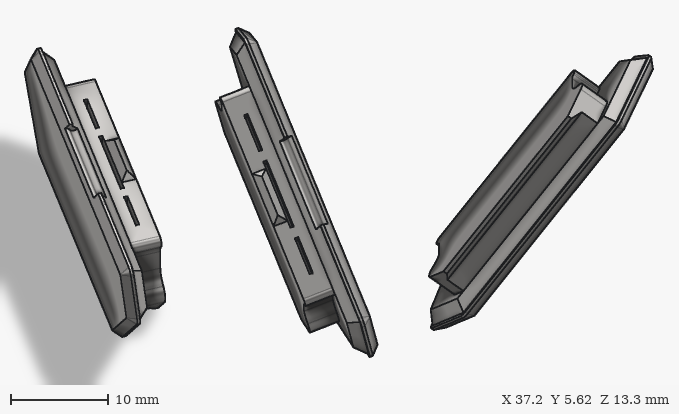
import cadquery as cq
import math

plate_height = 13.35
tip_half_width = 18.75
tip_z = 8.05
top_half_width = 16.12
bottom_half_width = 13.25
corner_radius = 0.93
front_bevel = 0.9
rim_back_y = 1.23
back_step = 0.37
back_slope_inset = 1.08
plate_back_y = 2.42

block_back_y = 5.62
block_top_z = plate_height - back_step - back_slope_inset
block_underside_z = back_step + back_slope_inset
hook_bottom_z = 0.22
hook_start_y = 4.45
hook_tip_y = 5.17

shoulder_radius = 0.67
shoulder_half_width = 11.85
neck_half_width = 11.4
upper_neck_z = 9.8
lower_neck_z = 7.22
lobe_radius = 1.45
lobe_half_width = 13.1
lobe_z = 4.3
lobe_top_tilt = 58.0
undercut_tilt = 34.0
undercut_flat = 0.22

latch_half_width = 2.98
latch_height = 0.8
ridge_flat = 0.005
latch_front_y = block_back_y - 2 * latch_height
slot_width = 0.37
slot_depth = 1.5
slot_y = latch_front_y - slot_width / 2
middle_slot_length = 7.52
side_slot_length = 4.1
side_slot_x = 7.0
notch_width = 9.98
notch_drop = 0.5
notch_crest_y = 0.45
notch_floor_y = 1.35
notch_back_y = 1.8
notch_floor_drop = 0.6
notch_back_rise = 0.3


def rear_facing_plane(y):
    """X-Z workplane at the given Y that extrudes towards +Y; its own x axis points along -X."""
    return cq.Workplane(cq.Plane(origin=(0, y, 0), xDir=(-1, 0, 0), normal=(0, 1, 0)))


def plate_outline(workplane):
    return workplane.polyline([
        (-top_half_width, plate_height),
        (top_half_width, plate_height),
        (tip_half_width, tip_z),
        (bottom_half_width, 0),
        (-bottom_half_width, 0),
        (-tip_half_width, tip_z),
    ]).close()


def make_plate():
    rim = plate_outline(rear_facing_plane(0)).extrude(rim_back_y)
    rim = rim.edges("|Y").fillet(corner_radius).faces("<Y").chamfer(front_bevel)
    slope_depth = plate_back_y - rim_back_y
    slope_angle = math.degrees(math.atan2(back_slope_inset, slope_depth))
    back_outline = plate_outline(rear_facing_plane(rim_back_y)).offset2D(-back_step, "intersection")
    back = back_outline.extrude(slope_depth, taper=slope_angle)
    return rim.union(back)


def on_circle(center, radius, tilt):
    angle = math.radians(tilt)
    return (center[0] + radius * math.cos(angle), center[1] + radius * math.sin(angle))


def half_block_outline(workplane):
    shoulder = (shoulder_half_width - shoulder_radius, block_top_z - shoulder_radius)
    lobe = (lobe_half_width - lobe_radius, lobe_z)
    lower_tilt = -math.degrees(math.atan2(tip_half_width - bottom_half_width, tip_z))

    shoulder_mid = on_circle(shoulder, shoulder_radius, 45)
    shoulder_end = on_circle(shoulder, shoulder_radius, -undercut_tilt)
    flat_end = on_circle(shoulder_end, undercut_flat, -undercut_tilt - 90)
    lobe_start = on_circle(lobe, lobe_radius, lobe_top_tilt)
    lobe_mid = on_circle(lobe, lobe_radius, 0)
    lobe_end = on_circle(lobe, lobe_radius, lower_tilt)
    bottom_x = lobe_end[0] + (lobe_end[1] - hook_bottom_z) * math.tan(math.radians(lower_tilt))

    return (
        workplane.moveTo(0, block_top_z)
        .lineTo(shoulder[0], block_top_z)
        .threePointArc(shoulder_mid, shoulder_end)
        .lineTo(*flat_end)
        .tangentArcPoint((neck_half_width, upper_neck_z), relative=False)
        .lineTo(neck_half_width, lower_neck_z)
        .tangentArcPoint(lobe_start, relative=False)
        .threePointArc(lobe_mid, lobe_end)
        .lineTo(bottom_x, hook_bottom_z)
        .lineTo(0, hook_bottom_z)
        .close()
    )


def make_block():
    half = half_block_outline(rear_facing_plane(plate_back_y)).extrude(block_back_y - plate_back_y)
    block = half.union(half.mirror("YZ"))
    clearance = (
        cq.Workplane("YZ")
        .polyline([
            (plate_back_y, block_underside_z),
            (hook_start_y, block_underside_z),
            (hook_tip_y, hook_bottom_z),
            (plate_back_y, hook_bottom_z),
        ])
        .close()
        .extrude(lobe_half_width, both=True)
    )
    return block.cut(clearance)


def make_latch():
    """Hipped ridge with 45 degree faces, at the back of the block's top."""
    return (
        cq.Workplane("XY", origin=(0, latch_front_y + latch_height, block_top_z))
        .rect(2 * latch_half_width, 2 * latch_height)
        .workplane(offset=latch_height)
        .rect(2 * (latch_half_width - latch_height), ridge_flat)
        .loft(ruled=True)
    )


def make_slot(center_x, length):
    return cq.Workplane("XY").box(length, slot_width, slot_depth).translate(
        (center_x, slot_y, block_top_z - slot_depth / 2)
    )


def make_notch():
    """Nail notch in the top edge: a rounded crest at the front running into a round groove."""
    crest_z = plate_height - notch_drop
    floor_z = crest_z - notch_floor_drop
    middle = ((notch_crest_y + notch_floor_y) / 2, (crest_z + floor_z) / 2)
    return (
        cq.Workplane("YZ")
        .moveTo(0, plate_height)
        .lineTo(0, crest_z)
        .lineTo(notch_crest_y, crest_z)
        .tangentArcPoint(middle, relative=False)
        .tangentArcPoint((notch_floor_y, floor_z), relative=False)
        .tangentArcPoint((notch_back_y, floor_z + notch_back_rise), relative=False)
        .lineTo(notch_back_y, plate_height)
        .close()
        .extrude(notch_width / 2, both=True)
    )


result = make_plate().union(make_block()).union(make_latch()).cut(make_notch())
result = result.cut(make_slot(0, middle_slot_length))
for side in (-1, 1):
    result = result.cut(make_slot(side * side_slot_x, side_slot_length))